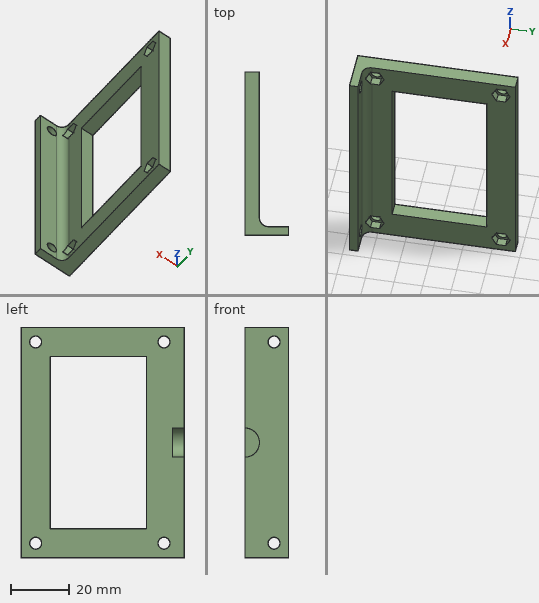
import cadquery as cq
import math

flange_width = 15.0
depth = 56.0
height = 79.0

plate_thickness = 5.0
flange_thickness = 3.0
inner_fillet = 3.0

hole_diameter = 4.0
hole_edge = 5.0
plate_hole_corner = 7.0

nut_across_flats = 5.5
nut_across_corners = nut_across_flats / math.cos(math.radians(30))
nut_floor = 2.0
corner_reach = plate_thickness + inner_fillet

frame_width = 10.0
window_start = flange_thickness + frame_width
window_depth = depth - frame_width - window_start
window_height = height - 2 * frame_width

recess_radius = 5.0
recess_depth = 4.0

hole_heights = (hole_edge, height - hole_edge)
plate_hole_centres = [(y, z) for y in (plate_hole_corner, depth - hole_edge) for z in hole_heights]


def make_angle():
    """L-shaped profile with a rounded inner corner, extruded upwards."""
    plate = cq.Workplane("XY").box(plate_thickness, depth, height, centered=False)
    flange = cq.Workplane("XY").box(flange_width, flange_thickness, height, centered=False)
    inner_corner = cq.selectors.NearestToPointSelector((plate_thickness, flange_thickness, height / 2))
    return plate.union(flange).edges(inner_corner).fillet(inner_fillet)


def make_window():
    """Rectangular opening through the plate."""
    window = cq.Workplane("XY").box(plate_thickness, window_depth, window_height, centered=False)
    return window.translate((0, window_start, frame_width))


def make_plate_holes():
    """Four holes along X through the corners of the plate."""
    holes = cq.Workplane("YZ").pushPoints(plate_hole_centres)
    return holes.circle(hole_diameter / 2).extrude(corner_reach)


def make_nut_pockets():
    """Hexagonal pockets open to +X, with flats facing up and down and corners along Y."""
    pockets = cq.Workplane("YZ").workplane(offset=nut_floor).pushPoints(plate_hole_centres)
    return pockets.polygon(6, nut_across_corners).extrude(corner_reach - nut_floor)


def make_flange_holes():
    """Two holes along Y through the flange."""
    centres = [(flange_width - hole_edge, z) for z in hole_heights]
    return cq.Workplane("XZ").pushPoints(centres).circle(hole_diameter / 2).extrude(-flange_thickness)


def make_recess():
    """Round pocket centred on the outer vertical edge, leaving a half-round notch."""
    return cq.Workplane("XZ").center(0, height / 2).circle(recess_radius).extrude(-recess_depth)


result = (
    make_angle()
    .cut(make_window())
    .cut(make_plate_holes())
    .cut(make_nut_pockets())
    .cut(make_flange_holes())
    .cut(make_recess())
)